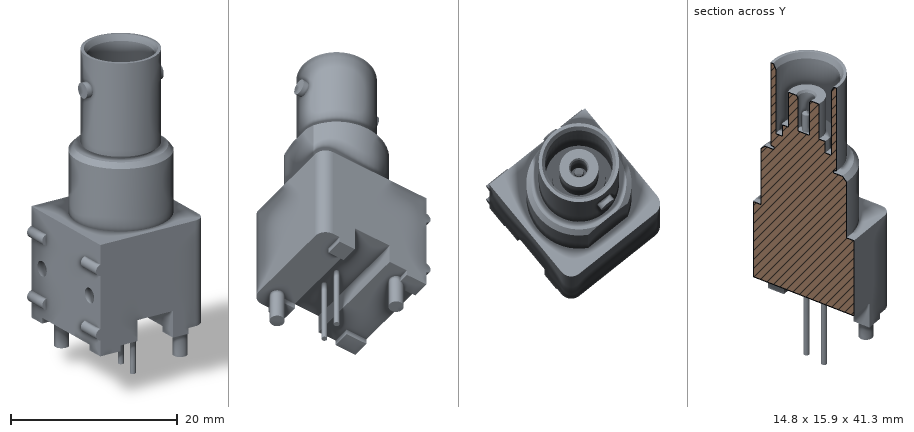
import cadquery as cq


housing_width = 14.77
housing_front = -7.95
housing_back = 7.3
housing_top = 14.45
underside = 0.75
back_corner_radius = 1.53

foot_inner_x = 5.08
channel_half_width = 2.55
channel_top = 3.45
back_foot_end = 4.8
front_foot_end = -5.08

rib_diameter = 1.5
rib_length = 3.25
rib_tip = -8.6
rib_levels = (2.8, 11.15)
front_hole_diameter = 2.0
front_hole_x = 5.08
front_hole_level = 7.1
front_hole_depth = 1.0

peg_diameter = 1.8
peg_offset = 5.1
peg_end = -3.5
pin_diameter = 0.7
center_pin_end = -5.25
ground_pin_x = 2.55
ground_pin_end = -5.65

collar_diameter = 12.63
collar_top = 23.15
collar_chamfer = 0.6
collar_flat_y = 5.55

barrel_top = ground_pin_end + 41.25
barrel_diameter = 9.65
barrel_bottom = 23.52
neck_diameter = 8.87
bore_diameter = 8.15
mouth_diameter = 8.87
mouth_depth = 0.75
lug_diameter = 2.0
lug_level = 31.35
lug_span = 11.05

bore_floor = 25.6
shoulder_diameter = 6.45
shoulder_top = 27.25
insulator_diameter = 4.65
insulator_top = barrel_top - 3.3
socket_diameter = 2.05
socket_mouth_diameter = 2.4
socket_mouth_depth = 0.35
contact_diameter = 1.05
contact_top = 29.7


def cylinder(diameter, bottom, top, x=0, y=0):
    return (
        cq.Workplane("XY", origin=(x, y, bottom))
        .circle(diameter / 2)
        .extrude(top - bottom)
    )


def block(x_range, y_range, z_range):
    (x0, x1), (y0, y1), (z0, z1) = x_range, y_range, z_range
    return cq.Workplane("XY").box(x1 - x0, y1 - y0, z1 - z0, centered=False).translate((x0, y0, z0))


def make_housing():
    half_width = housing_width / 2
    housing = block(
        (-half_width, half_width), (housing_front, housing_back), (underside, housing_top)
    )
    housing = housing.edges("|Z and >Y").fillet(back_corner_radius)

    for x_range in ((-half_width, -foot_inner_x), (foot_inner_x, half_width)):
        for y_range in ((housing_front, front_foot_end), (channel_half_width, back_foot_end)):
            housing = housing.union(block(x_range, y_range, (0, underside)))

    channel = block(
        (-half_width, half_width), (-channel_half_width, channel_half_width), (0, channel_top)
    )
    housing = housing.cut(channel)

    rib_y = rib_tip + rib_diameter / 2
    for rib_start in (-half_width, half_width - rib_length):
        for level in rib_levels:
            rib = (
                cq.Workplane("YZ", origin=(rib_start, rib_y, level))
                .circle(rib_diameter / 2)
                .extrude(rib_length)
            )
            housing = housing.union(rib)

    holes = (
        cq.Workplane("XZ", origin=(0, housing_front, front_hole_level))
        .pushPoints([(-front_hole_x, 0), (front_hole_x, 0)])
        .circle(front_hole_diameter / 2)
        .extrude(-front_hole_depth)
    )
    return housing.cut(holes)


def make_pegs_and_pins():
    pegs = cylinder(peg_diameter, peg_end, channel_top, -peg_offset, -peg_offset)
    pegs = pegs.union(cylinder(peg_diameter, peg_end, channel_top, peg_offset, peg_offset))
    center_pin = cylinder(pin_diameter, center_pin_end, housing_top)
    ground_pin = cylinder(pin_diameter, ground_pin_end, housing_top, ground_pin_x)
    return pegs.union(center_pin).union(ground_pin)


def make_collar():
    collar = cylinder(collar_diameter, housing_top, collar_top).faces(">Z").chamfer(collar_chamfer)
    radius = collar_diameter / 2
    beyond_flat = block((-radius, radius), (collar_flat_y, radius), (housing_top, collar_top))
    return collar.cut(beyond_flat)


def make_barrel():
    barrel = cylinder(neck_diameter, collar_top, barrel_bottom)
    barrel = barrel.union(cylinder(barrel_diameter, barrel_bottom, barrel_top))
    lugs = (
        cq.Workplane("XZ", origin=(0, 0, lug_level))
        .circle(lug_diameter / 2)
        .extrude(lug_span / 2, both=True)
    )
    bore = cylinder(bore_diameter, bore_floor, barrel_top)
    mouth = (
        cq.Workplane("XY", origin=(0, 0, barrel_top))
        .circle(mouth_diameter / 2)
        .workplane(offset=-mouth_depth)
        .circle(bore_diameter / 2)
        .loft()
    )
    return barrel.union(lugs).cut(bore).cut(mouth)


def make_insulator():
    insulator = cylinder(shoulder_diameter, bore_floor, shoulder_top)
    insulator = insulator.union(cylinder(insulator_diameter, shoulder_top, insulator_top))
    socket = cylinder(socket_diameter, shoulder_top, insulator_top)
    socket_mouth = (
        cq.Workplane("XY", origin=(0, 0, insulator_top))
        .circle(socket_mouth_diameter / 2)
        .workplane(offset=-socket_mouth_depth)
        .circle(socket_diameter / 2)
        .loft()
    )
    contact = cylinder(contact_diameter, shoulder_top, contact_top)
    return insulator.cut(socket).cut(socket_mouth).union(contact)


result = (
    make_housing()
    .union(make_pegs_and_pins())
    .union(make_collar())
    .union(make_barrel())
    .union(make_insulator())
)